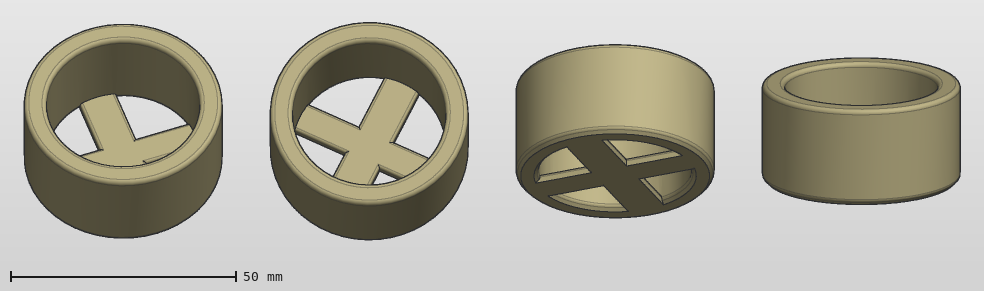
import cadquery as cq
import math

outer_diameter = 44.0
bore_diameter = 34.0
height = 22.0
edge_size = 1.0

x_arm_width = 8.5
y_arm_width = 7.0
cross_thickness = 2.0
arm_round = 0.65
wall_overlap = 1.3

outer_radius = outer_diameter / 2
bore_radius = bore_diameter / 2


def make_ring():
    """Revolved wall with a rounded top and blended chamfers at the bottom."""
    tangent_length = edge_size * math.tan(math.radians(45 / 2))
    tangent_leg = tangent_length * math.sin(math.radians(45))
    blend_mid_inset = edge_size * (1 - math.cos(math.radians(45 / 2)))
    blend_top = edge_size + tangent_length
    blend_mid = blend_top - edge_size * math.sin(math.radians(45 / 2))
    blend_bottom = edge_size - tangent_leg

    round_mid_inset = edge_size * (1 - math.cos(math.radians(45)))
    round_start = height - edge_size
    round_mid = height - round_mid_inset

    profile = (
        cq.Workplane("XZ")
        .moveTo(bore_radius + edge_size, 0)
        .lineTo(outer_radius - edge_size, 0)
        .lineTo(outer_radius - tangent_leg, blend_bottom)
        .threePointArc((outer_radius - blend_mid_inset, blend_mid), (outer_radius, blend_top))
        .lineTo(outer_radius, round_start)
        .threePointArc((outer_radius - round_mid_inset, round_mid), (outer_radius - edge_size, height))
        .lineTo(bore_radius + edge_size, height)
        .threePointArc((bore_radius + round_mid_inset, round_mid), (bore_radius, round_start))
        .lineTo(bore_radius, blend_top)
        .threePointArc((bore_radius + blend_mid_inset, blend_mid), (bore_radius + tangent_leg, blend_bottom))
        .close()
    )
    return profile.revolve(360, (0, 0, 0), (0, 1, 0))


def make_arm(width):
    """Bar along X with its two long upper edges rounded."""
    length = bore_diameter + 2 * wall_overlap
    bar = cq.Workplane("XY").rect(length, width).extrude(cross_thickness)
    return bar.faces(">Z").edges("|X").fillet(arm_round)


x_arm = make_arm(x_arm_width)
y_arm = make_arm(y_arm_width).rotate((0, 0, 0), (0, 0, 1), 90)

result = make_ring().union(x_arm).union(y_arm)